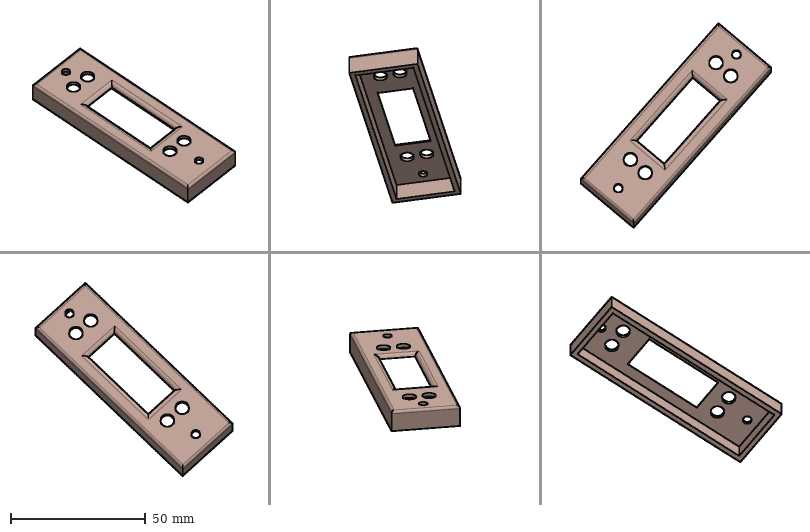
import cadquery as cq

length = 78.5
width = 26.0
height = 8.2
edge_radius = 1.0
wall = 2.0
plate_thickness = 1.5

window_length = 31.6
window_width = 13.3
window_x = -1.4
rim_radius = 2.0

hole_pattern_x = -0.8
screw_diameter = 3.2
screw_spacing = 67.35
button_diameter = 5.0
button_spacing_x = 48.75
button_spacing_y = 7.45
lower_row_x = -2.75
upper_row_x = -2.5


def make_block():
    """Solid block with a rounded top edge."""
    block = cq.Workplane("XY").box(length, width, height, centered=(True, True, False))
    return block.faces(">Z").edges().fillet(edge_radius)


def make_cavity():
    """Hollow of the underside, leaving the side walls and the top plate."""
    return cq.Workplane("XY").box(
        length - 2 * wall,
        width - 2 * wall,
        height - plate_thickness,
        centered=(True, True, False),
    )


def cut_window(body):
    """Rectangular window whose top rim is a convex round, cut short by the cavity below."""
    opening = (
        cq.Workplane("XY")
        .center(window_x, 0)
        .rect(window_length, window_width)
        .extrude(height)
    )
    margin = rim_radius / 2
    reach_x = window_length / 2 + margin
    reach_y = window_width / 2 + margin
    rim_edges = cq.selectors.BoxSelector(
        (window_x - reach_x, -reach_y, height - margin),
        (window_x + reach_x, reach_y, height + margin),
    )
    return body.cut(opening).edges(rim_edges).fillet(rim_radius)


def holes(points, diameter):
    """Vertical cylinders that reach through the whole height."""
    return cq.Workplane("XY").pushPoints(points).circle(diameter / 2).extrude(height)


screw_points = [(hole_pattern_x + side * screw_spacing / 2, 0) for side in (-1, 1)]
button_points = [
    (row_x + side * button_spacing_x / 2, row_y)
    for row_x, row_y in ((lower_row_x, -button_spacing_y / 2), (upper_row_x, button_spacing_y / 2))
    for side in (-1, 1)
]

result = cut_window(make_block()).cut(make_cavity())
result = result.cut(holes(screw_points, screw_diameter))
result = result.cut(holes(button_points, button_diameter))